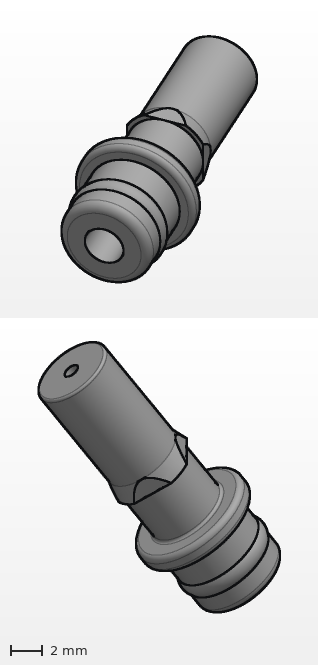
import cadquery as cq
import math

total_length = 19.4

plug_radius = 3.12
nose_fillet = 0.6
bead_start = 1.75
bead_end = 2.87
bead_height = 0.17

collar_start = 5.0
collar_end = 6.3
collar_diameter = 8.2
collar_fillet = 0.39

stem_radius = 2.6
root_fillet = 0.2
tail_fillet = 0.17

barb_start = 10.2
barb_end = 11.48
barb_radius = 2.97

wide_bore_radius = 1.32
narrow_bore_radius = 0.5
wide_bore_depth = 7.76
bore_floor_angle = 90.0


def body():
    """Solid of revolution for the plug, bead and stem, without the collar."""
    bead_middle = (bead_start + bead_end) / 2
    bend = math.sqrt(0.5)
    nose_inset = nose_fillet * (1 - bend)
    root_inset = root_fillet * (1 - bend)
    profile = (
        cq.Workplane("XY")
        .lineTo(plug_radius - nose_fillet, 0)
        .threePointArc((plug_radius - nose_inset, nose_inset), (plug_radius, nose_fillet))
        .lineTo(plug_radius, bead_start)
        .threePointArc((plug_radius + bead_height, bead_middle), (plug_radius, bead_end))
        .lineTo(plug_radius, collar_start)
        .lineTo(stem_radius, collar_start)
        .lineTo(stem_radius + root_fillet, collar_end)
        .threePointArc(
            (stem_radius + root_inset, collar_end + root_inset),
            (stem_radius, collar_end + root_fillet),
        )
        .lineTo(stem_radius, total_length)
        .lineTo(0, total_length)
        .close()
    )
    turned = profile.revolve(360, (0, 0, 0), (0, 1, 0))
    return turned.faces(">Y").edges().fillet(tail_fillet)


def collar():
    disc = (
        cq.Workplane("XZ", origin=(0, collar_start, 0))
        .circle(collar_diameter / 2)
        .extrude(collar_start - collar_end)
    )
    return disc.edges().fillet(collar_fillet)


def barb():
    """Cone widest toward the collar, with flats facing +/-X and +/-Z."""
    cone = (
        cq.Workplane("XY")
        .polyline([
            (0, barb_start),
            (barb_radius, barb_start),
            (stem_radius, barb_end),
            (0, barb_end),
        ])
        .close()
        .revolve(360, (0, 0, 0), (0, 1, 0))
    )
    flats = (
        cq.Workplane("XZ")
        .rect(2 * stem_radius, 2 * stem_radius)
        .extrude(-total_length)
    )
    return cone.intersect(flats)


def bore():
    half_angle = math.radians(bore_floor_angle / 2)
    floor_length = (wide_bore_radius - narrow_bore_radius) / math.tan(half_angle)
    return (
        cq.Workplane("XY")
        .polyline([
            (0, 0),
            (wide_bore_radius, 0),
            (wide_bore_radius, wide_bore_depth),
            (narrow_bore_radius, wide_bore_depth + floor_length),
            (narrow_bore_radius, total_length),
            (0, total_length),
        ])
        .close()
        .revolve(360, (0, 0, 0), (0, 1, 0))
    )


result = body().union(collar()).union(barb()).cut(bore())